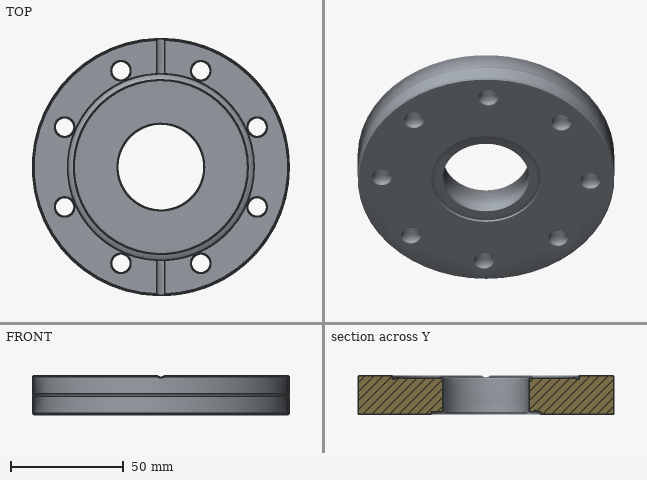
import cadquery as cq

outer_radius = 56.8
height = 17.3
rim_chamfer = 0.6
bore_radius = 19.1
bore_chamfer = 0.2

rim_groove_width = 1.0
rim_groove_depth = 0.2

recess_radius = 82.5 / 2
recess_depth = 1.6
knife_radius = 38.6
knife_depth = 0.8
knife_taper = 0.2
floor_depth = 1.0

counterbore_radius = 48.3 / 2
counterbore_depth = 1.1

bolt_count = 8
bolt_circle_radius = 46.1
bolt_hole_diameter = 8.4
bolt_hole_chamfer = 0.2

leak_groove_radius = 4.9 / 2
leak_groove_depth = 0.77


def make_body():
    """Revolve the half section, including the rim groove and sealing recess."""
    mid_height = height / 2
    return (
        cq.Workplane("XZ")
        .moveTo(counterbore_radius, 0)
        .lineTo(outer_radius - rim_chamfer, 0)
        .lineTo(outer_radius, rim_chamfer)
        .lineTo(outer_radius, mid_height - rim_groove_width / 2)
        .threePointArc(
            (outer_radius - rim_groove_depth, mid_height),
            (outer_radius, mid_height + rim_groove_width / 2),
        )
        .lineTo(outer_radius, height - rim_chamfer)
        .lineTo(outer_radius - rim_chamfer, height)
        .lineTo(recess_radius, height)
        .lineTo(recess_radius, height - recess_depth)
        .lineTo(knife_radius, height - knife_depth)
        .lineTo(knife_radius - knife_taper, height - floor_depth)
        .lineTo(bore_radius + bore_chamfer, height - floor_depth)
        .lineTo(bore_radius, height - floor_depth - bore_chamfer)
        .lineTo(bore_radius, counterbore_depth)
        .lineTo(counterbore_radius, counterbore_depth)
        .close()
        .revolve(360, (0, 0, 0), (0, 1, 0))
    )


def make_bolt_holes():
    """Through holes with a small chamfer at both faces."""
    mouth_radius = bolt_hole_diameter / 2 + bolt_hole_chamfer
    cutter = (
        cq.Workplane("XY")
        .circle(bolt_hole_diameter / 2)
        .extrude(height)
    )
    for face_height, direction in ((0, 1), (height, -1)):
        mouth = cq.Solid.makeCone(
            mouth_radius,
            bolt_hole_diameter / 2,
            bolt_hole_chamfer,
            cq.Vector(0, 0, face_height),
            cq.Vector(0, 0, direction),
        )
        cutter = cutter.union(cq.Workplane(mouth))
    pitch = 360 / bolt_count
    return (
        cq.Workplane("XY")
        .polarArray(bolt_circle_radius, pitch / 2, 360, bolt_count)
        .eachpoint(cutter.val(), combine="a")
    )


def make_leak_grooves():
    """One cylinder along Y cuts both grooves, passing above the recess floor."""
    axis_height = height + leak_groove_radius - leak_groove_depth
    return (
        cq.Workplane("XZ")
        .center(0, axis_height)
        .circle(leak_groove_radius)
        .extrude(outer_radius, both=True)
    )


result = make_body().cut(make_bolt_holes()).cut(make_leak_grooves())